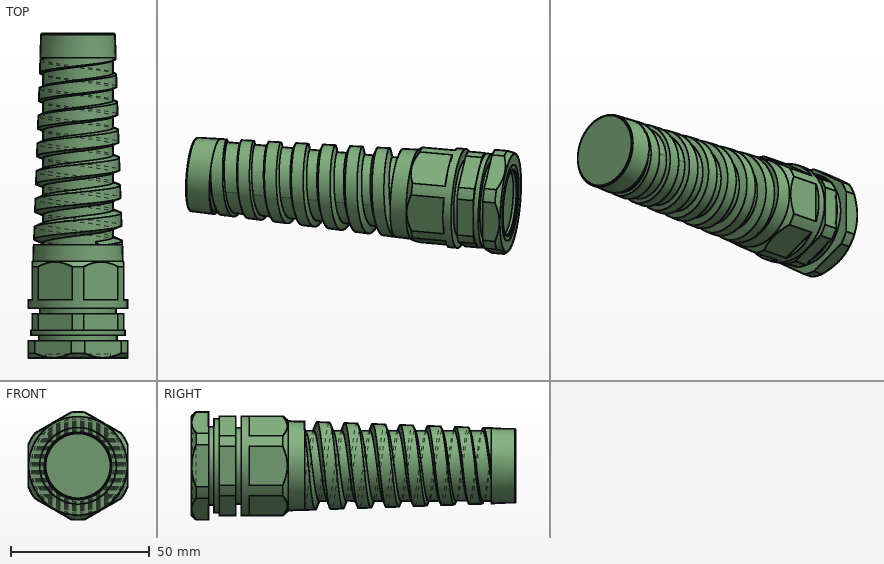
import cadquery as cq
import math


total_length = 117.0
nut_length = 6.3
collar_start = 8.2
collar_end = 10.1
lock_hex_end = 16.1
flange_start = 18.0
flange_end = 21.0
cap_end = 35.0
sleeve_groove_start = 40.9
sleeve_groove_end = 108.2

nut_flats = 35.9
nut_corners = 38.97
body_flats = 33.0
body_corners = 35.9
hexagon_turn = 30.0

nut_face_diameter = 35.5
neck_diameter = 28.3
collar_diameter = 34.0
inner_neck_diameter = 27.6
flange_diameter = 35.9
cap_top_diameter = 32.4
core_diameter = 25.38

tip_diameter = 26.7
sleeve_half_angle = 2.0
tip_chamfer = 0.4

nut_chamfer_length = 1.8
cap_chamfer_length = 2.0

ring_diameter = 27.6
ring_recess = 0.1
bore_mouth_diameter = 24.3
bore_diameter = 23.3
bore_chamfer_length = 0.4
bore_depth = 1.6

rib_pitch = 10.0
rib_turns = 7.4
rib_start = 38.4
rib_start_angle = 30.0
rib_crest_width = 4.4
rib_flank_angle = 22.0
rib_inset = 0.03
rib_root = 3.6


def cone_radius(station):
    """Radius of the sleeve cone at a station along Y."""
    return tip_diameter / 2 + (total_length - station) * math.tan(math.radians(sleeve_half_angle))


def turned(points):
    """Solid of revolution about Y from (radius, station) points; the axis closes the outline.

    The outline lies on the -X side, which keeps the seam of the faces away from the start of the rib.
    """
    sides = [(-radius, station) for radius, station in points]
    outline = [(0, points[0][1])] + sides + [(0, points[-1][1])]
    return cq.Workplane("XY").polyline(outline).close().revolve(360, (0, 0), (0, 1))


def cylinder(diameter, start, end):
    return turned([(diameter / 2, start), (diameter / 2, end)])


def hexagon(flats, start, end):
    """Hexagonal prism along Y with two flats facing +X and -X."""
    across_points = flats * 2 / math.sqrt(3)
    prism = cq.Workplane("XZ", origin=(0, start, 0)).polygon(6, across_points).extrude(start - end)
    return prism.rotate((0, 0, 0), (0, 1, 0), hexagon_turn)


def sealing_nut():
    envelope = turned([
        (nut_face_diameter / 2, 0),
        (nut_corners / 2, nut_chamfer_length),
        (nut_corners / 2, nut_length),
    ])
    return hexagon(nut_flats, 0, nut_length).intersect(envelope)


def lock_hexagon():
    envelope = cylinder(body_corners, collar_end, lock_hex_end)
    return hexagon(body_flats, collar_end, lock_hex_end).intersect(envelope)


def cap_hexagon():
    envelope = turned([
        (body_corners / 2, flange_end),
        (body_corners / 2, cap_end - cap_chamfer_length),
        (cap_top_diameter / 2, cap_end),
    ])
    return hexagon(body_flats, flange_end, cap_end).intersect(envelope)


def sleeve_cone(start, end):
    return turned([(cone_radius(start), start), (cone_radius(end), end)])


def sleeve_tip():
    tip_radius = tip_diameter / 2
    return turned([
        (cone_radius(sleeve_groove_end), sleeve_groove_end),
        (cone_radius(total_length - tip_chamfer), total_length - tip_chamfer),
        (tip_radius - tip_chamfer, total_length),
    ])


def spiral_rib():
    """Trapezoidal rib swept along a tapering right-hand helix, with its crest just below the sleeve cone."""
    radius = cone_radius(rib_start) - rib_inset
    helix = cq.Wire.makeHelix(rib_pitch, rib_turns * rib_pitch, radius, angle=-sleeve_half_angle)
    half_crest = rib_crest_width / 2
    half_root = half_crest + rib_root * math.tan(math.radians(rib_flank_angle))
    crest_rise = half_crest * math.tan(math.radians(sleeve_half_angle))
    rib = (
        cq.Workplane("XZ")
        .polyline([
            (radius - rib_root, -half_root),
            (radius + crest_rise, -half_crest),
            (radius - crest_rise, half_crest),
            (radius - rib_root, half_root),
        ])
        .close()
        .sweep(cq.Workplane(helix), isFrenet=True)
    )
    rib = rib.rotate((0, 0, 0), (1, 0, 0), -90)
    rib = rib.rotate((0, 0, 0), (0, 1, 0), rib_start_angle - 90)
    return rib.translate((0, rib_start, 0))


def face_recess():
    """Shallow ring recess and the chamfered blind bore in the nut face."""
    bore = turned([
        (bore_mouth_diameter / 2, 0),
        (bore_mouth_diameter / 2, ring_recess),
        (bore_diameter / 2, ring_recess + bore_chamfer_length),
        (bore_diameter / 2, bore_depth),
    ])
    return bore.union(cylinder(ring_diameter, 0, ring_recess))


def bend_relief_sleeve():
    """Sleeve core with the spiral rib, closed by the cone at the cap and by the tip."""
    core = cylinder(core_diameter, cap_end, total_length - tip_chamfer)
    return (
        core.union(spiral_rib())
        .union(sleeve_cone(cap_end, sleeve_groove_start))
        .union(sleeve_tip())
    )


result = (
    sealing_nut()
    .union(cylinder(neck_diameter, nut_length, collar_start))
    .union(cylinder(collar_diameter, collar_start, collar_end))
    .union(lock_hexagon())
    .union(cylinder(inner_neck_diameter, lock_hex_end, flange_start))
    .union(cylinder(flange_diameter, flange_start, flange_end))
    .union(cap_hexagon())
    .union(bend_relief_sleeve())
    .cut(face_recess())
)